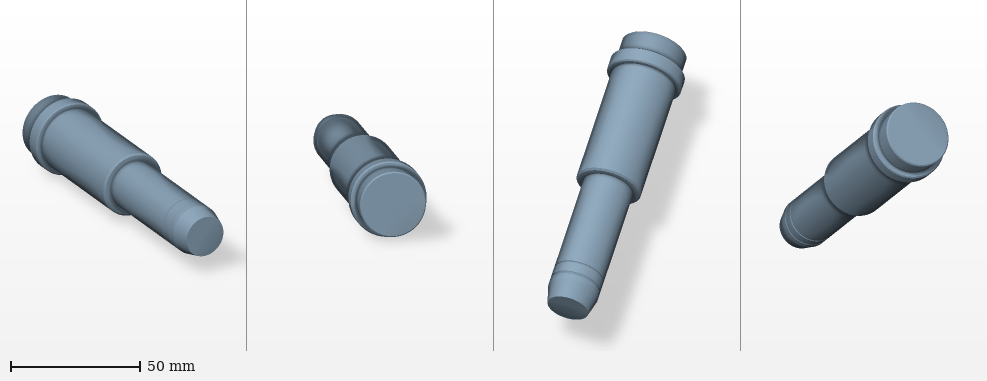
import cadquery as cq

total_length = 120.0
body_diameter = 26.0
collar_diameter = 30.0
pilot_diameter = 20.0
tip_diameter = 16.5

collar_start = 9.0
collar_end = 15.0
body_end = 64.2
taper_start = 112.8

head_chamfer = 0.5
collar_chamfer = 0.5
body_end_chamfer = 0.7

collar_relief_width = 1.0
collar_relief_depth = 0.2
pilot_relief_width = 0.4
pilot_relief_depth = 0.1

tip_grooves = [(104.5, 0.7), (109.2, 1.1)]
tip_groove_depth = 0.4


def cylinder(start, end, diameter):
    """Solid cylinder on the X axis between two stations."""
    return cq.Workplane("YZ", origin=(start, 0, 0)).circle(diameter / 2).extrude(end - start)


def square_groove(start, width, diameter, depth):
    """Ring that cuts a square groove into a shaft of the given diameter."""
    ring = cylinder(start, start + width, diameter)
    return ring.cut(cylinder(start, start + width, diameter - 2 * depth))


def round_groove(start, width, diameter, depth):
    """Ring that cuts a groove with an arc-shaped bottom into a shaft."""
    radius = diameter / 2
    bottom = (start + width / 2, radius - depth)
    section = cq.Workplane("XY").moveTo(start, radius).threePointArc(bottom, (start + width, radius)).close()
    return section.revolve(360, (0, 0, 0), (1, 0, 0))


body = cylinder(0, body_end, body_diameter)
body = body.faces("<X").chamfer(head_chamfer)
body = body.faces(">X").chamfer(body_end_chamfer)
body = body.cut(
    square_groove(collar_start - collar_relief_width, collar_relief_width, body_diameter, collar_relief_depth)
)
body = body.cut(square_groove(collar_end, collar_relief_width, body_diameter, collar_relief_depth))

collar = cylinder(collar_start, collar_end, collar_diameter).edges().chamfer(collar_chamfer)

pilot = cylinder(body_end, total_length, pilot_diameter)
taper_depth = (pilot_diameter - tip_diameter) / 2
pilot = pilot.faces(">X").chamfer(total_length - taper_start, taper_depth)
pilot = pilot.cut(square_groove(body_end, pilot_relief_width, pilot_diameter, pilot_relief_depth))
for groove_start, groove_width in tip_grooves:
    pilot = pilot.cut(round_groove(groove_start, groove_width, pilot_diameter, tip_groove_depth))

result = body.union(collar).union(pilot)